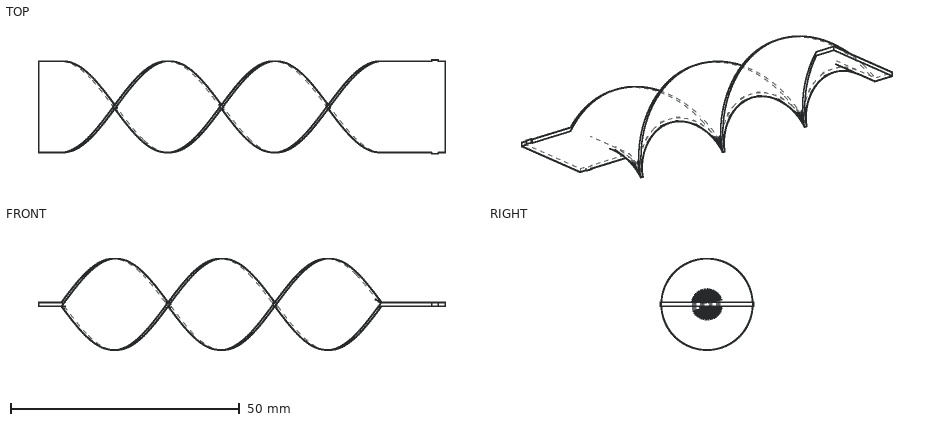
import cadquery as cq

total_length = 89.0
strip_width = 20.0
strip_thickness = 0.9

short_tab_length = 5.0
long_tab_length = 14.0
twist_length = total_length - short_tab_length - long_tab_length
half_turns = 3
twist_angle = -180.0 * half_turns

bump_length = 1.5
bump_height = 0.3
bump_end_gap = 1.5
bump_center_x = total_length - bump_end_gap - bump_length / 2


def strip_section(x):
    """Workplane across the strip at x, carrying its rectangular section."""
    return cq.Workplane("YZ", origin=(x, 0, 0)).rect(strip_width, strip_thickness)


def flat_tab(start_x, length):
    return strip_section(start_x).extrude(length)


def edge_bumps():
    """One bar across the tab whose ends stand out from both side edges."""
    bar_width = strip_width + 2 * bump_height
    bar = cq.Workplane("XY").box(bump_length, bar_width, strip_thickness)
    return bar.translate((bump_center_x, 0, 0))


twist_end_x = short_tab_length + twist_length
twisted_strip = strip_section(short_tab_length).twistExtrude(twist_length, twist_angle)

result = (
    flat_tab(0, short_tab_length)
    .union(twisted_strip)
    .union(flat_tab(twist_end_x, long_tab_length))
    .union(edge_bumps())
)